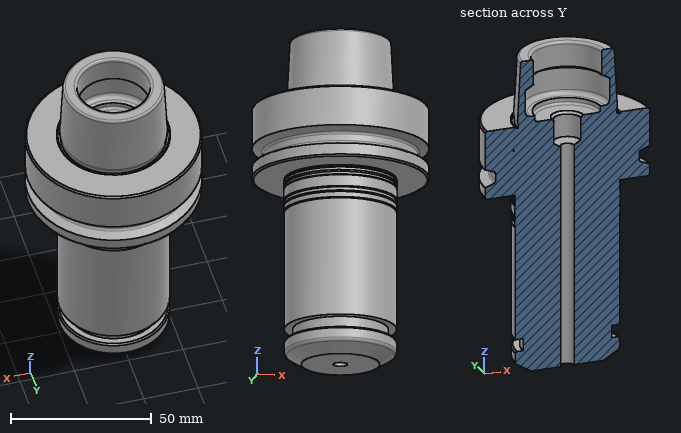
import cadquery as cq
import math

total_height = 119.0
flange_top = 94.2
flange_bottom = 68.1
clamp_groove_top = 12.9
clamp_groove_bottom = 8.5

spigot_top_radius = 18.0
spigot_round = 0.8
spigot_base_radius = 19.2
spigot_base_height = 96.0
neck_radius = 38.0 / 2
neck_step = 0.7
relief_radius = 20.2
relief_depth = 0.5
relief_chamfer = 0.5

flange_radius = 63.0 / 2
flange_chamfer = 0.6
gripper_radius = 55.0 / 2
gripper_top = 78.0
gripper_bottom = 74.3
gripper_flare = 1.5
gripper_fillet = 1.0

shank_radius = 40.0 / 2
band_radius = 40.5 / 2
band_lead = 0.4
band_slope = 0.6
upper_band = (67.1, 66.2)
middle_band = (64.3, 60.2)
lower_band = (58.1, 56.2)
clamp_groove_radius = 34.0 / 2
collar_chamfer = 0.6
nose_height = 3.7
nose_round = 1.4
nose_radius = 13.9

mouth_radius = 26.0 / 2
mouth_round = 1.1
mouth_depth = 9.6
chamber_radius = 32.0 / 2
chamber_depth = 21.4
chamber_round = 1.8
lip_angle = math.radians(30)
floor_bore_radius = 25.0 / 2
floor_bore_depth = 23.8
floor_round = 0.89

socket_radius = 12.0 / 2
socket_chamfer = 1.0
socket_depth = 9.5
coolant_radius = 5.0 / 2
drill_point_angle = math.radians(118)

pick_margin = 0.01


def revolve(points):
    """Turn a closed (radius, height) outline about the Z axis."""
    return cq.Workplane("XZ").polyline(points).close().revolve(360, (0, 0, 0), (0, 1, 0))


def ring_edges(body, radius, height):
    """Select the circular edge with the given radius and height."""
    reach = radius + pick_margin
    core = radius - pick_margin
    outer = cq.selectors.BoxSelector(
        (-reach, -reach, height - pick_margin),
        (reach, reach, height + pick_margin), boundingbox=True)
    inner = cq.selectors.BoxSelector(
        (-core, -core, height - pick_margin),
        (core, core, height + pick_margin), boundingbox=True)
    return body.edges(outer - inner)


def band(top_bottom, slope_above, slope_below):
    """Outline points of a raised shank band, from its top to its bottom."""
    top, bottom = top_bottom
    return [
        (shank_radius, top + slope_above),
        (band_radius, top),
        (band_radius, bottom),
        (shank_radius, bottom - slope_below),
    ]


def make_body():
    spigot = [
        (0, total_height),
        (spigot_top_radius, total_height),
        (spigot_base_radius, spigot_base_height),
        (neck_radius, spigot_base_height - neck_step),
        (neck_radius, flange_top - relief_depth),
        (relief_radius - relief_chamfer, flange_top - relief_depth),
        (relief_radius, flange_top),
    ]
    flange = [
        (flange_radius - flange_chamfer, flange_top),
        (flange_radius, flange_top - flange_chamfer),
        (flange_radius, gripper_top + gripper_flare),
        (gripper_radius, gripper_top),
        (gripper_radius, gripper_bottom),
        (flange_radius, gripper_bottom - gripper_flare),
        (flange_radius, flange_bottom + flange_chamfer),
        (flange_radius - flange_chamfer, flange_bottom),
    ]
    shank = [
        (shank_radius, flange_bottom),
        *band(upper_band, band_lead, band_slope),
        *band(middle_band, band_lead, band_lead),
        *band(lower_band, band_slope, band_lead),
        (shank_radius, clamp_groove_top),
    ]
    nose = [
        (clamp_groove_radius, clamp_groove_top),
        (clamp_groove_radius, clamp_groove_bottom),
        (shank_radius - collar_chamfer, clamp_groove_bottom),
        (shank_radius, clamp_groove_bottom - collar_chamfer),
        (shank_radius, nose_height),
        (nose_radius, 0),
        (0, 0),
    ]
    body = revolve(spigot + flange + shank + nose)
    body = ring_edges(body, spigot_top_radius, total_height).fillet(spigot_round)
    for height in (gripper_top, gripper_bottom):
        body = ring_edges(body, gripper_radius, height).fillet(gripper_fillet)
    return ring_edges(body, shank_radius, nose_height).fillet(nose_round)


def make_cavity():
    lip_bottom = total_height - mouth_depth - (chamber_radius - mouth_radius) * math.tan(lip_angle)
    floor = total_height - floor_bore_depth
    chamber_end = total_height - chamber_depth
    cavity = revolve([
        (0, total_height),
        (mouth_radius, total_height),
        (mouth_radius, total_height - mouth_depth),
        (chamber_radius, lip_bottom),
        (chamber_radius, chamber_end),
        (floor_bore_radius, chamber_end),
        (floor_bore_radius, floor),
        (0, floor),
    ])
    cavity = ring_edges(cavity, chamber_radius, chamber_end).fillet(chamber_round)
    return ring_edges(cavity, floor_bore_radius, floor).fillet(floor_round)


def make_axial_hole():
    floor = total_height - floor_bore_depth
    bore_radius = socket_radius - socket_chamfer
    socket_bottom = floor - socket_depth
    point_drop = (bore_radius - coolant_radius) / math.tan(drill_point_angle / 2)
    return revolve([
        (0, floor),
        (socket_radius, floor),
        (bore_radius, floor - socket_chamfer),
        (bore_radius, socket_bottom),
        (coolant_radius, socket_bottom - point_drop),
        (coolant_radius, 0),
        (0, 0),
    ])


result = make_body().cut(make_cavity())
result = ring_edges(result, mouth_radius, total_height).fillet(mouth_round)
result = result.cut(make_axial_hole())